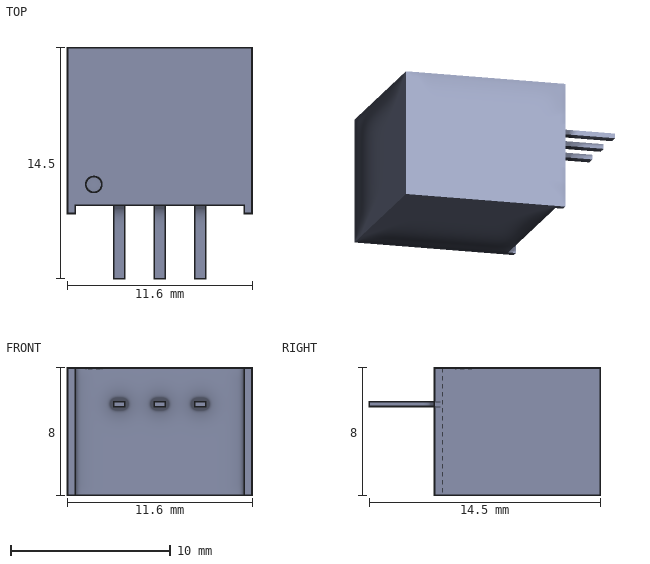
import cadquery as cq

case_width = 11.6
case_height = 8.0
overall_length = 14.5
case_length = 10.41
lip_depth = 0.51
lip_thickness = 0.51

pin_pitch = 2.54
pin_width = 0.71
pin_thickness = 0.3
pin_drop = 2.28
pin_count = 3

mark_diameter = 1.0
mark_depth = 0.05
mark_from_side = 1.67
mark_from_lip_end = 1.83

case_top = case_height / 2
pin_face = lip_depth
pin_tip = case_length - overall_length


def make_case():
    block = cq.Workplane("XY").box(case_width, case_length, case_height, centered=(True, False, True))
    recess_width = case_width - 2 * lip_thickness
    recess = cq.Workplane("XY").box(recess_width, lip_depth, case_height, centered=(True, False, True))
    return block.cut(recess)


def make_pin(x):
    pin_length = pin_face - pin_tip
    pin = cq.Workplane("XY").box(pin_width, pin_length, pin_thickness, centered=(True, False, True))
    return pin.translate((x, pin_tip, case_top - pin_drop))


def make_mark():
    mark_x = -case_width / 2 + mark_from_side
    return (
        cq.Workplane("XY", origin=(mark_x, mark_from_lip_end, case_top - mark_depth))
        .circle(mark_diameter / 2)
        .extrude(mark_depth)
    )


result = make_case().cut(make_mark())
for index in range(pin_count):
    pin_x = (index - (pin_count - 1) / 2) * pin_pitch
    result = result.union(make_pin(pin_x))